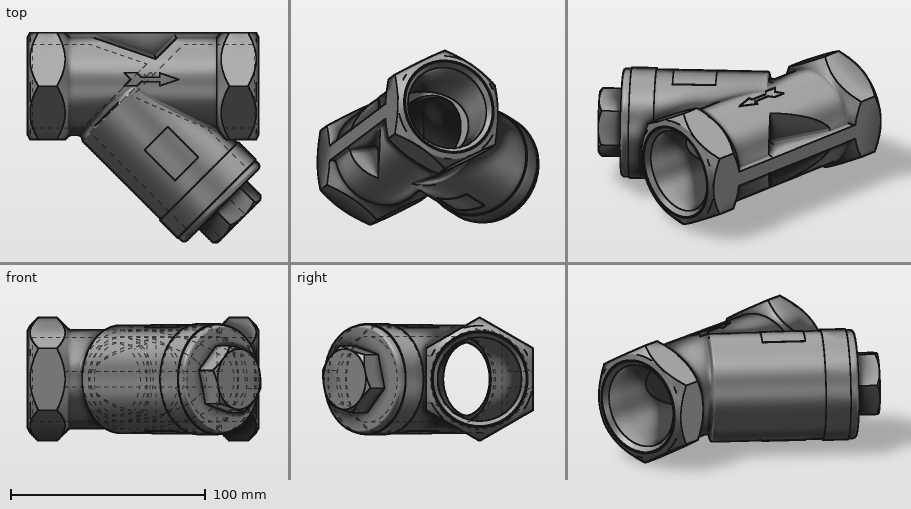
import cadquery as cq
import math


run_length = 119.0
half_run = run_length / 2
tube_radius = 25.4
bore_radius = 21.55

hex_flats = 55.0
hex_flat_radius = hex_flats / 2
hex_corner_radius = hex_flat_radius / math.cos(math.pi / 6)
end_face_radius = 24.75
end_cone_length = 1.4
hex_edge_start = end_cone_length + hex_corner_radius - hex_flat_radius
hex_edge_end = 15.2
hex_back_end = hex_edge_end + hex_corner_radius - tube_radius
neck_fillet = 1.8

mouth_radius = 24.0
mouth_depth = mouth_radius - bore_radius

branch_crossing_x = -20.15
branch_radius = 27.8
branch_start = 11.2
branch_start_round = 1.3
branch_blend = 2.0
collar_start = 69.2
collar_end = 82.0
collar_radius = 28.5

seat_near = 7.4
seat_far = 11.75
seat_hole_radius = 18.9
chamber_radius = 22.0

rib_half_thickness = 4.0
rib_blend = 2.0
notch_steep_wall = 9.0
notch_floor_fillet = 2.3
ramp_thickness = 3.75
ramp_slope = 0.344
ridge_y = 11.45
ridge_x = branch_crossing_x + seat_near * math.sqrt(2) + ridge_y
downstream_start = 13.7

cap_radius = 28.0
cap_thickness = 4.35
cap_round = 2.15
cap_end = collar_end + cap_thickness
head_flats = 31.0
head_flat_radius = head_flats / 2
head_corner_radius = head_flat_radius / math.cos(math.pi / 6)
head_height = 11.8
head_chamfer_height = 1.6
head_turn = 45.0

mark_height = 0.3
label_length = 22.2
label_width = 16.9
label_start = 38.0
arrow_tail_x = -9.6
arrow_center_y = 3.4
arrow_length = 27.8
arrow_tail_notch = 3.2
arrow_feather_length = 6.5
arrow_head_length = 9.7
arrow_half_width = 3.3
arrow_shaft_half_width = 1.1

trim_size = 200.0


def branch_plane(distance):
    """Plane square to the branch axis, with its own Y along the part's Z."""
    step = distance / math.sqrt(2)
    return cq.Plane(origin=(branch_crossing_x + step, -step, 0), xDir=(1, 1, 0), normal=(1, -1, 0))


def branch_cylinder(start, end, radius):
    return cq.Workplane(branch_plane(start)).circle(radius).extrude(end - start)


def beyond_branch(distance):
    """Block holding everything further along the branch than the given distance."""
    return cq.Workplane(branch_plane(distance)).rect(trim_size, trim_size).extrude(trim_size)


def run_cylinder(radius, half_length=half_run):
    return cq.Workplane("YZ", origin=(-half_length, 0, 0)).circle(radius).extrude(2 * half_length)


def revolve_about_run(outline):
    return outline.close().revolve(360, (0, 0, 0), (1, 0, 0))


def tube_and_branch():
    """Tube and branch barrel with the concave blend between them."""
    tube = run_cylinder(tube_radius, half_run - hex_edge_end)
    barrel = (
        branch_cylinder(branch_start, collar_end, branch_radius)
        .faces("<(1,-1,0)")
        .edges()
        .fillet(branch_start_round)
    )
    return tube.union(barrel).edges("%ELLIPSE").fillet(branch_blend)


def hex_end():
    """Left hexagonal end, coned on both sides."""
    hexagon = (
        cq.Workplane("YZ", origin=(-half_run, 0, 0))
        .transformed(rotate=(0, 0, 90))
        .polygon(6, 2 * hex_corner_radius)
        .extrude(hex_back_end)
    )
    cones = revolve_about_run(
        cq.Workplane("XY", origin=(-half_run, 0, 0))
        .lineTo(0, end_face_radius)
        .lineTo(end_cone_length, hex_flat_radius)
        .lineTo(hex_edge_start, hex_corner_radius)
        .lineTo(hex_edge_end, hex_corner_radius)
        .lineTo(hex_back_end, tube_radius)
        .lineTo(hex_back_end, 0)
    )
    return hexagon.intersect(cones)


def neck():
    """Concave ring between the back cone of the left end and the tube."""
    tangent_length = neck_fillet * math.tan(math.pi / 8)
    cone_step = tangent_length / math.sqrt(2)
    center_x = tangent_length
    center_y = tube_radius + neck_fillet
    mid_angle = math.radians(247.5)
    mid_point = (
        center_x + neck_fillet * math.cos(mid_angle),
        center_y + neck_fillet * math.sin(mid_angle),
    )
    return revolve_about_run(
        cq.Workplane("XY", origin=(-half_run + hex_back_end, 0, 0))
        .moveTo(-cone_step, bore_radius)
        .lineTo(-cone_step, tube_radius + cone_step)
        .threePointArc(mid_point, (center_x, tube_radius))
        .lineTo(center_x, bore_radius)
    )


def rib_half():
    """Upper half of the rib along the tube, blended into it by a concave fillet."""
    center_z = rib_half_thickness + rib_blend
    center_y = math.sqrt((tube_radius + rib_blend) ** 2 - center_z**2)
    tube_angle = math.atan2(center_z, center_y)
    tube_point = (tube_radius * math.cos(tube_angle), tube_radius * math.sin(tube_angle))
    mid_angle = (tube_angle + math.pi + 1.5 * math.pi) / 2
    mid_point = (
        center_y + rib_blend * math.cos(mid_angle),
        center_z + rib_blend * math.sin(mid_angle),
    )
    half_length = half_run - hex_edge_end
    return (
        cq.Workplane("YZ", origin=(-half_length, 0, 0))
        .moveTo(bore_radius, 0)
        .lineTo(bore_radius, tube_point[1])
        .lineTo(*tube_point)
        .threePointArc(mid_point, (center_y, rib_half_thickness))
        .lineTo(hex_flat_radius, rib_half_thickness)
        .lineTo(hex_flat_radius, 0)
        .close()
        .extrude(2 * half_length)
    )


def notch():
    """V pocket above the rib: a ramp and a steep wall, filleted where they meet the rib."""
    steep_offset = branch_crossing_x + notch_steep_wall * math.sqrt(2)
    ramp_rise = ramp_thickness * math.hypot(1, ramp_slope)
    tip_x = (ridge_y + ramp_rise + ramp_slope * ridge_x + steep_offset) / (1 + ramp_slope)
    tip_y = tip_x - steep_offset
    depth = 2 * tube_radius - tip_y
    return (
        cq.Workplane("XY", origin=(tip_x, tip_y, rib_half_thickness))
        .lineTo(depth, depth)
        .lineTo(-depth / ramp_slope, depth)
        .close()
        .extrude(tube_radius)
        .faces("<Z")
        .edges()
        .fillet(notch_floor_fillet)
    )


def label_pads():
    """Thin raised rectangles on the top and bottom of the branch."""
    label_end = label_start + label_length
    band = branch_cylinder(label_start, label_end, branch_radius + mark_height)
    core = branch_cylinder(label_start, label_end, chamber_radius)
    block = cq.Workplane(branch_plane(label_start)).rect(label_width, trim_size).extrude(label_length)
    return band.cut(core).intersect(block)


def flow_arrow():
    """Thin raised arrow on the top of the tube, pointing along +X."""
    feather_end = arrow_feather_length
    shaft_start = feather_end + arrow_half_width - arrow_shaft_half_width
    head_start = arrow_length - arrow_head_length
    upper_edge = [
        (0, arrow_half_width),
        (feather_end, arrow_half_width),
        (shaft_start, arrow_shaft_half_width),
        (head_start, arrow_shaft_half_width),
        (head_start, arrow_half_width),
    ]
    lower_edge = [(x, -y) for x, y in reversed(upper_edge)]
    outline = [(arrow_tail_notch, 0), *upper_edge, (arrow_length, 0), *lower_edge]
    block = (
        cq.Workplane("XY", origin=(arrow_tail_x, arrow_center_y, 0))
        .polyline(outline)
        .close()
        .extrude(trim_size)
    )
    band = run_cylinder(tube_radius + mark_height).cut(run_cylinder(bore_radius))
    return block.intersect(band)


def upstream_bore():
    """Bore from the left end, narrowed by the ramp and stopped by the seat wall."""
    below_ramp = (
        cq.Workplane("XY", origin=(ridge_x, ridge_y, -trim_size / 2))
        .moveTo(trim_size, -ramp_slope * trim_size)
        .lineTo(-trim_size, ramp_slope * trim_size)
        .lineTo(-trim_size, -trim_size)
        .lineTo(trim_size, -trim_size)
        .close()
        .extrude(trim_size)
    )
    return run_cylinder(bore_radius).intersect(below_ramp).cut(beyond_branch(seat_near))


def downstream_bore():
    return run_cylinder(bore_radius).intersect(beyond_branch(downstream_start))


def bore_mouth():
    """Chamfer of the bore at the left end."""
    return revolve_about_run(
        cq.Workplane("XY", origin=(-half_run, 0, 0))
        .lineTo(0, mouth_radius)
        .lineTo(mouth_depth, bore_radius)
        .lineTo(mouth_depth, 0)
    )


def make_housing():
    housing = tube_and_branch().union(neck())
    end = hex_end()
    housing = housing.union(end).union(end.mirror("YZ"))
    half = rib_half()
    housing = housing.union(half).union(half.mirror("XY"))
    pocket = notch()
    housing = housing.cut(pocket).cut(pocket.mirror("XY"))
    housing = housing.union(branch_cylinder(collar_start, collar_end, collar_radius))
    housing = housing.union(label_pads()).union(flow_arrow())

    housing = housing.cut(upstream_bore()).cut(downstream_bore())
    mouth = bore_mouth()
    housing = housing.cut(mouth).cut(mouth.mirror("YZ"))
    housing = housing.cut(branch_cylinder(seat_near, seat_far, seat_hole_radius))
    return housing.cut(branch_cylinder(seat_far, collar_end, chamber_radius))


def make_cap():
    """Round flange closing the branch, with a hexagonal head."""
    flange = (
        branch_cylinder(collar_end, cap_end, cap_radius)
        .faces(">(1,-1,0)")
        .edges()
        .fillet(cap_round)
    )
    hexagon = (
        cq.Workplane(branch_plane(cap_end).rotated((0, 0, head_turn)))
        .polygon(6, 2 * head_corner_radius)
        .extrude(head_height)
    )
    chamfered = (
        branch_cylinder(cap_end, cap_end + head_height, head_corner_radius)
        .faces(">(1,-1,0)")
        .edges()
        .chamfer(head_chamfer_height, head_corner_radius - head_flat_radius)
    )
    return flange.union(hexagon.intersect(chamfered))


strainer_housing = make_housing()
end_cap = make_cap()
result = cq.Compound.makeCompound([strainer_housing.solids().val(), end_cap.solids().val()])